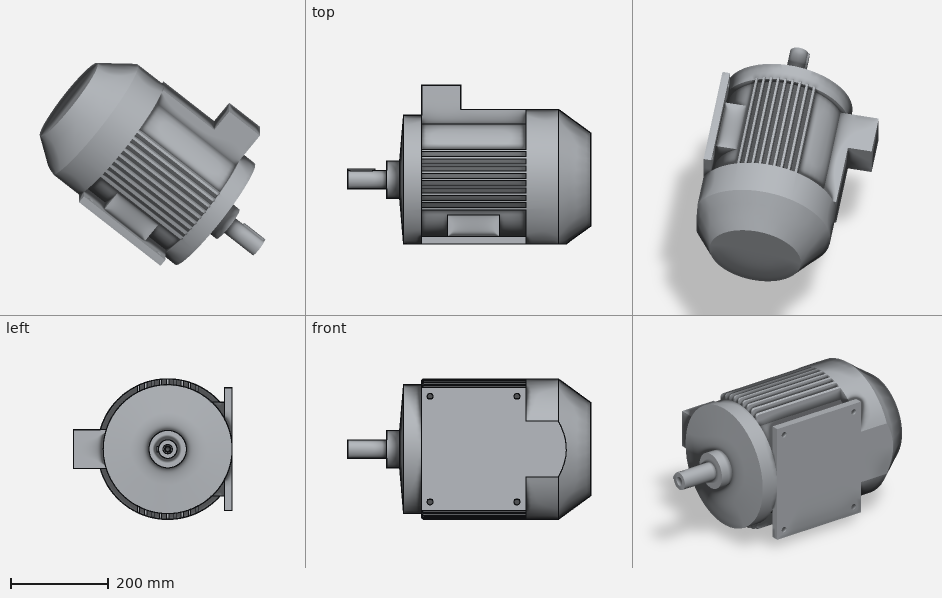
import cadquery as cq


collar_start = 80.0
flange_cone_start = 106.5
flange_rim_start = 114.5
body_start = 151.5
body_end = 365.0
cowl_cone_start = 431.5
motor_length = 498.0
body_length = body_end - body_start

shaft_radius = 19.0
collar_radius = 38.5
shaft_height = 132.0
flange_radius = shaft_height
core_radius = 120.5
cowl_radius = 144.0
cowl_end_radius = 95.0

centre_mouth_radius = 9.5
centre_recess_radius = 6.5
centre_bore_radius = 5.0
centre_cone_depth = 4.5
centre_recess_depth = 9.5
centre_bore_depth = 37.0
drill_point_length = 3.0

key_length = 56.5
key_width = 11.0
key_top = 22.0

fin_count = 9
fin_pitch = 15.0
fin_thickness = 4.5
fin_corner_radius = 6.0

box_length = 80.5
box_width = 79.5
box_top = 193.0

foot_thickness = 16.0
foot_width = 252.0
pad_start = 204.5
pad_length = 106.5
pad_width = 192.0
foot_hole_radius = 6.0
foot_hole_start = 169.0
foot_hole_spacing_x = 178.0
foot_hole_spacing_z = 216.0


def block(x_start, length, y_low, y_high, width):
    """Box centred on Z = 0, placed by its X start and its Y limits."""
    return cq.Workplane("XY").box(length, y_high - y_low, width, centered=(False, False, True)).translate(
        (x_start, y_low, 0)
    )


def turned(profile):
    """Revolve a closed (x, radius) profile about the shaft axis."""
    return profile.close().revolve(360, (0, 0, 0), (1, 0, 0))


def make_turned_body():
    profile = (
        cq.Workplane("XY")
        .lineTo(0, shaft_radius)
        .lineTo(collar_start, shaft_radius)
        .lineTo(collar_start, collar_radius)
        .lineTo(flange_cone_start, collar_radius)
        .lineTo(flange_rim_start, flange_radius)
        .lineTo(body_start, flange_radius)
        .lineTo(body_start, core_radius)
        .lineTo(body_end, core_radius)
        .lineTo(body_end, cowl_radius)
        .lineTo(cowl_cone_start, cowl_radius)
        .lineTo(motor_length, cowl_end_radius)
        .lineTo(motor_length, 0)
    )
    below_foot = block(0, motor_length, -2 * cowl_radius, -shaft_height, 4 * cowl_radius)
    return turned(profile).cut(below_foot)


def make_fins():
    """Parallel vertical fins whose tips follow the cowl radius."""
    corner_offset = fin_corner_radius * (1 - 0.5**0.5)
    envelope = turned(
        cq.Workplane("XY")
        .moveTo(body_start, 0)
        .lineTo(body_start, cowl_radius - fin_corner_radius)
        .threePointArc(
            (body_start + corner_offset, cowl_radius - corner_offset),
            (body_start + fin_corner_radius, cowl_radius),
        )
        .lineTo(body_end, cowl_radius)
        .lineTo(body_end, 0)
    )
    slabs = cq.Workplane("XY")
    for index in range(fin_count):
        y_centre = (index - (fin_count - 1) / 2) * fin_pitch
        half = fin_thickness / 2
        slabs = slabs.add(block(body_start, body_length, y_centre - half, y_centre + half, 2 * cowl_radius))
    return slabs.combine().intersect(envelope)


def make_terminal_box():
    box = block(body_start, box_length, 0, box_top, box_width)
    rib = block(body_start, body_length, 0, cowl_radius, box_width)
    return box.union(rib)


def make_foot():
    plate_back = foot_thickness - shaft_height
    plate = block(body_start, body_length, -shaft_height, plate_back, foot_width)
    pad = block(pad_start, pad_length, plate_back, 0, pad_width)
    hole_centre_x = foot_hole_start + foot_hole_spacing_x / 2
    holes = (
        cq.Workplane("XZ", origin=(hole_centre_x, -shaft_height, 0))
        .rarray(foot_hole_spacing_x, foot_hole_spacing_z, 2, 2)
        .circle(foot_hole_radius)
        .extrude(-foot_thickness)
    )
    return plate.union(pad).cut(holes)


def make_key():
    """Round-ended key reaching from the shaft end."""
    return (
        cq.Workplane("XZ", origin=(key_length / 2, 0, 0))
        .slot2D(key_length, key_width)
        .extrude(-key_top)
    )


def make_centre_hole():
    return turned(
        cq.Workplane("XY")
        .lineTo(0, centre_mouth_radius)
        .lineTo(centre_cone_depth, centre_recess_radius)
        .lineTo(centre_recess_depth, centre_recess_radius)
        .lineTo(centre_recess_depth, centre_bore_radius)
        .lineTo(centre_bore_depth, centre_bore_radius)
        .lineTo(centre_bore_depth + drill_point_length, 0)
    )


result = (
    make_turned_body()
    .union(make_fins())
    .union(make_terminal_box())
    .union(make_foot())
    .union(make_key())
    .cut(make_centre_hole())
)